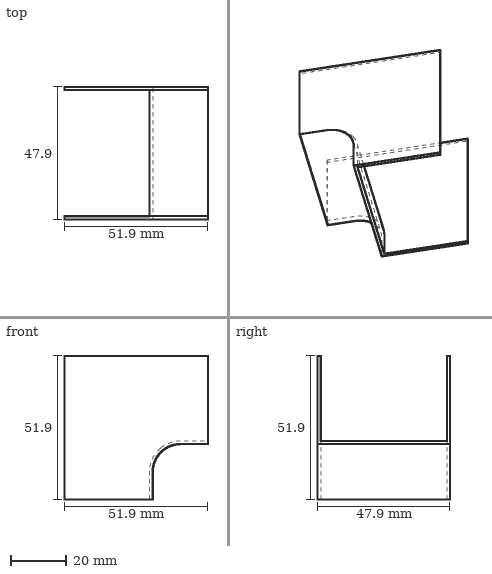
import cadquery as cq

side = 51.9
depth = 47.9

thickness = 1.2
notch = 20.0
inner_radius = 10.0


def corner_profile(wall_offset):
    """L-shaped outline whose notch edge is moved into the plate by wall_offset."""
    edge_x = side - notch - wall_offset
    edge_z = notch + wall_offset
    radius = inner_radius + wall_offset
    return (
        cq.Workplane("XZ")
        .lineTo(edge_x, 0)
        .lineTo(edge_x, edge_z - radius)
        .radiusArc((edge_x + radius, edge_z), radius)
        .lineTo(side, edge_z)
        .lineTo(side, side)
        .lineTo(0, side)
        .close()
    )


def extrude_toward_back(profile, length):
    """Extrude an XZ outline toward +Y."""
    return profile.extrude(-length)


block = extrude_toward_back(corner_profile(0), depth)
cavity = extrude_toward_back(corner_profile(thickness), depth - 2 * thickness)
result = block.cut(cavity.translate((0, thickness, 0)))